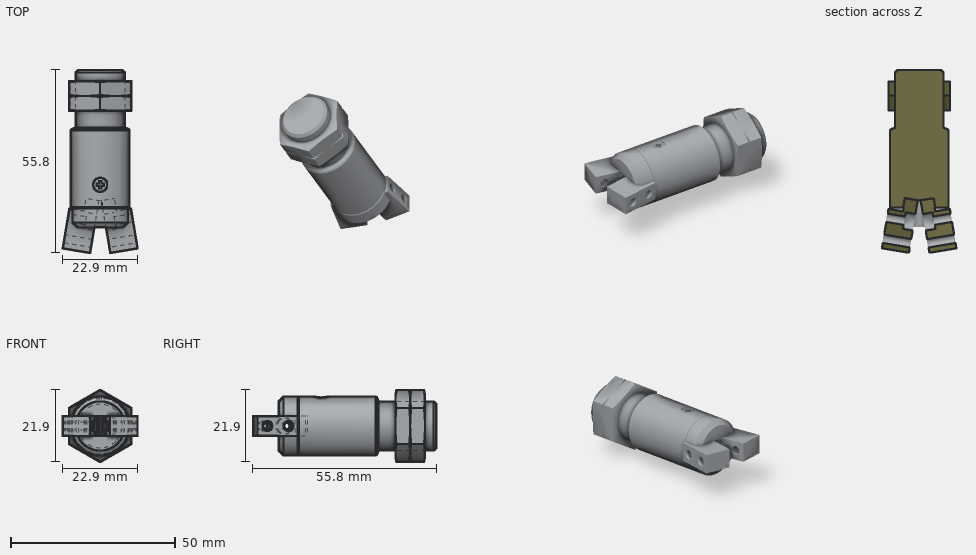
import cadquery as cq
import math


neck_radius = 15.0 / 2
neck_end_radius = 13.38 / 2
body_radius = 18.0 / 2
front_face_radius = 15.0 / 2
shoulder_start = 17.6
shoulder_cone_length = 0.4
shoulder_chamfer = 0.45
groove_start = 41.75
groove_width = 0.5
groove_depth = groove_width / 2
front_face = 48.0

screw_position = 35.0
screw_diameter = 4.3
screw_face_height = 8.7
cross_length = 2.2
cross_width = 0.8
cross_depth = 0.5

nut_across_flats = 19.0
nut_across_corners = nut_across_flats / math.cos(math.pi / 6)
nut_thickness = 4.5
nut_face_diameter = 18.9
nut_chamfer = 0.3
nut_start = 3.45
nut_count = 2

jaw_angle = 9.5
jaw_width = 8.5
jaw_length = 12.3
jaw_height = 6.0
jaw_tip_gap = 6.11
jaw_tip = 55.81
stem_length = 3.9
stem_width = 4.0
hole_diameter = 2.46
hole_sink_diameter = 3.0
hole_from_tip = 3.0
hole_spacing = 6.5
pocket_diameter = 5.0
pocket_depth = 3.0

slot_end = groove_start + groove_width / 2


def jaw_point(along, across):
    """X and Y of a point on the +X jaw, measured back from the inner tip edge and outward."""
    angle = math.radians(jaw_angle)
    x = jaw_tip_gap / 2 - along * math.sin(angle) + across * math.cos(angle)
    y = -jaw_tip + along * math.cos(angle) + across * math.sin(angle)
    return x, y


def jaw_plate(points):
    """Plate of the jaw height, centred on z = 0, with the given outline."""
    return cq.Workplane("XY").polyline(points).close().extrude(jaw_height / 2, both=True)


def make_jaw_blank():
    """Jaw block with a narrower stem that continues its inner face into the housing."""
    stem_end = jaw_length + stem_length
    return jaw_plate([
        jaw_point(0, 0),
        jaw_point(0, jaw_width),
        jaw_point(jaw_length, jaw_width),
        jaw_point(jaw_length, stem_width),
        jaw_point(stem_end, stem_width),
        jaw_point(stem_end, 0),
    ])


def hole_profile(along, steps):
    """Turned cutter across the jaw, from (distance outward, radius) steps."""
    x, y = jaw_point(along, 0)
    angle = math.radians(jaw_angle)
    outward = (math.cos(angle), math.sin(angle), 0)
    plane = cq.Plane(origin=(x, y, 0), xDir=outward, normal=(0, 0, 1))
    points = [(steps[0][0], 0)] + steps + [(steps[-1][0], 0)]
    return cq.Workplane(plane).polyline(points).close().revolve(360, (0, 0, 0), (1, 0, 0))


def make_jaw():
    """+X jaw with two countersunk cross holes; the rear one opens into a round pocket."""
    hole_radius = hole_diameter / 2
    sink_radius = hole_sink_diameter / 2
    sink_depth = sink_radius - hole_radius
    outer_sink = [
        (jaw_width - sink_depth, hole_radius),
        (jaw_width, sink_radius),
    ]
    front_hole = [(0, sink_radius), (sink_depth, hole_radius)] + outer_sink
    pocket_radius = pocket_diameter / 2
    rear_hole = [
        (0, pocket_radius),
        (pocket_depth, pocket_radius),
        (pocket_depth, hole_radius),
    ] + outer_sink
    jaw = make_jaw_blank()
    jaw = jaw.cut(hole_profile(hole_from_tip, front_hole))
    return jaw.cut(hole_profile(hole_from_tip + hole_spacing, rear_hole))


def make_housing_blank():
    """Turned housing: chamfered neck, sloped shoulder, body, V groove and chamfered front."""
    neck_chamfer = neck_radius - neck_end_radius
    shoulder_edge = shoulder_start + shoulder_cone_length
    front_chamfer = body_radius - front_face_radius
    profile = [
        (0, 0),
        (neck_end_radius, 0),
        (neck_radius, -neck_chamfer),
        (neck_radius, -shoulder_start),
        (body_radius - shoulder_chamfer, -shoulder_edge),
        (body_radius, -shoulder_edge - shoulder_chamfer),
        (body_radius, -groove_start),
        (body_radius - groove_depth, -groove_start - groove_width / 2),
        (body_radius, -groove_start - groove_width),
        (body_radius, -front_face + front_chamfer),
        (front_face_radius, -front_face),
        (0, -front_face),
    ]
    return cq.Workplane("XY").polyline(profile).close().revolve(360, (0, 0, 0), (0, 1, 0))


def cut_screw(housing):
    """Sunk screw face with a cross recess."""
    face = cq.Workplane("XY", origin=(0, -screw_position, screw_face_height))
    housing = housing.cut(face.circle(screw_diameter / 2).extrude(body_radius))
    for size in [(cross_length, cross_width), (cross_width, cross_length)]:
        housing = housing.cut(face.rect(*size).extrude(-cross_depth))
    return housing


def cut_jaw_slot(housing):
    """Slot across the front, and a wedge-shaped opening behind it that fits the stems."""
    slot_length = front_face - slot_end
    slot = cq.Workplane("XY", origin=(0, -slot_end - slot_length / 2, 0)).box(
        2 * body_radius, slot_length, jaw_height
    )
    stem = make_jaw_blank()
    right_rear = jaw_point(jaw_length + stem_length, 0)
    right_front = jaw_point(jaw_length, 0)
    gap = jaw_plate([
        right_rear,
        right_front,
        (-right_front[0], right_front[1]),
        (-right_rear[0], right_rear[1]),
    ])
    return housing.cut(slot).cut(stem).cut(stem.mirror("YZ")).cut(gap)


def make_housing():
    return cut_jaw_slot(cut_screw(make_housing_blank()))


def make_nut(start):
    """Hexagon nut with corners up and down, chamfered on both faces."""
    face_radius = nut_face_diameter / 2
    corner_radius = nut_across_corners / 2
    hexagon = (
        cq.Workplane("XZ", origin=(0, -start, 0))
        .transformed(rotate=(0, 0, 90))
        .polygon(6, nut_across_corners)
        .extrude(nut_thickness)
    )
    end = start + nut_thickness
    ring = [
        (neck_radius, -start),
        (face_radius, -start),
        (corner_radius, -start - nut_chamfer),
        (corner_radius, -end + nut_chamfer),
        (face_radius, -end),
        (neck_radius, -end),
    ]
    envelope = cq.Workplane("XY").polyline(ring).close().revolve(360, (0, 0, 0), (0, 1, 0))
    return hexagon.intersect(envelope)


housing = make_housing()
nuts = [make_nut(nut_start + i * nut_thickness) for i in range(nut_count)]
right_jaw = make_jaw()
left_jaw = right_jaw.mirror("YZ")

result = cq.Compound.makeCompound([
    housing.val(),
    *[nut.val() for nut in nuts],
    right_jaw.val(),
    left_jaw.val(),
])